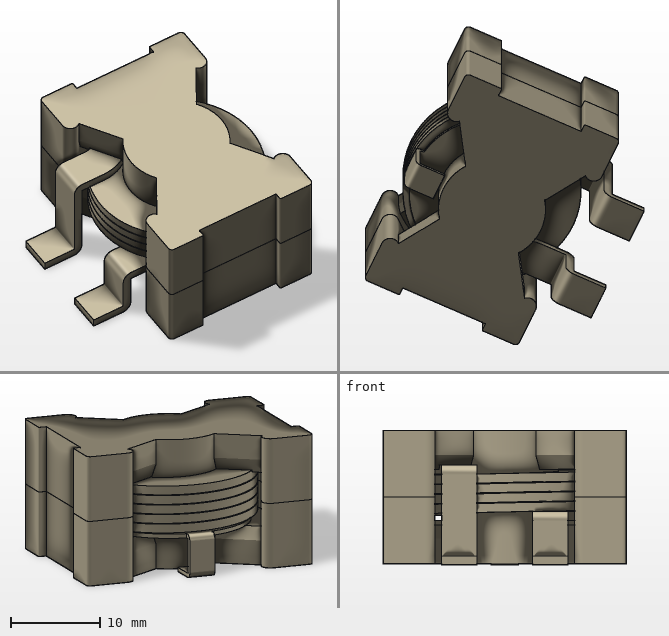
import cadquery as cq
import math

CORE_LENGTH = 27.3
CORE_WIDTH = 19.0
CORE_HALF_HEIGHT = 7.48
LEG_RADIUS = 6.0
WINDOW_RADIUS = 11.25
WINDOW_HALF_HEIGHT = 3.1
WAIST_X = 3.5
LIP_RADIUS = 1.0
SIDE_RECESS_DEPTH = 0.9
SIDE_RECESS_HALF_WIDTH = 5.1
OUTER_CORNER_RADIUS = 0.5
RECESS_CORNER_RADIUS = 0.15
BEVEL_HEIGHT = 1.55
BEVEL_DEPTH = 0.5

STRIP_WIDTH = 3.95
COIL_CLEARANCE = 0.03
STRIP_THICKNESS = 1.0
TURN_GAP = 0.09
WHOLE_TURNS = 4
LEAD_OUTER_X = 7.07
LEAD_BEND_Y = -7.62
LEAD_FACE_Y = -11.6
FOOT_END_Y = -15.53
LEAD_INNER_BEND_RADIUS = 0.1
FOOT_BOTTOM_Z = -7.62

CLIP_THICKNESS = 0.5
CLIP_ARM_OUTER_X = 9.25
CLIP_ARM_END_Y = -5.81
CLIP_TAIL_WIDTH = 3.05
CLIP_BACK_Y = 10.07
CLIP_FOOT_END_Y = 6.52
CLIP_INNER_BEND_RADIUS = 0.2

COIL_INNER_RADIUS = LEG_RADIUS + COIL_CLEARANCE
COIL_OUTER_RADIUS = COIL_INNER_RADIUS + STRIP_WIDTH
CLIP_TOP_Z = -WINDOW_HALF_HEIGHT + CLIP_THICKNESS
COIL_BOTTOM_Z = CLIP_TOP_Z

BEND_INNER_RADIUS = (LEAD_OUTER_X**2 + LEAD_BEND_Y**2 - COIL_OUTER_RADIUS**2) / (
    2 * (COIL_OUTER_RADIUS - LEAD_OUTER_X))
BEND_CENTRE_X = LEAD_OUTER_X + BEND_INNER_RADIUS
BEND_ANGLE = math.degrees(math.atan2(-LEAD_BEND_Y, BEND_CENTRE_X))
PITCH = STRIP_THICKNESS + TURN_GAP
COIL_TURNS = WHOLE_TURNS + (180 + 2 * BEND_ANGLE) / 360
COIL_RISE = COIL_TURNS * PITCH

LIP_CENTRE_Y = CORE_WIDTH / 2 - LIP_RADIUS
LIP_CENTRE_X = math.sqrt((WINDOW_RADIUS + LIP_RADIUS)**2 - LIP_CENTRE_Y**2)
LIP_END = (LIP_CENTRE_X * WINDOW_RADIUS / (WINDOW_RADIUS + LIP_RADIUS),
           LIP_CENTRE_Y * WINDOW_RADIUS / (WINDOW_RADIUS + LIP_RADIUS))
WAIST = (WAIST_X, math.sqrt(LEG_RADIUS**2 - WAIST_X**2))


def mirrored_quarters(quarter):
    """A quarter solid repeated over all four quadrants, as one shape."""
    half = quarter.union(quarter.mirror("YZ"))
    return half.union(half.mirror("XZ")).clean()


def disc(radius, height):
    """Disc about Z standing on the plane Z = 0."""
    return cq.Workplane("XY").circle(radius).extrude(height)


def core_block():
    """Waisted outline of one core half without its centre leg, extruded up from the parting plane."""
    half_length = CORE_LENGTH / 2
    half_width = CORE_WIDTH / 2
    quarter = (
        cq.Workplane("XY")
        .lineTo(*WAIST)
        .lineTo(*LIP_END)
        .threePointArc((LIP_CENTRE_X - LIP_RADIUS, LIP_CENTRE_Y), (LIP_CENTRE_X, half_width))
        .lineTo(half_length, half_width)
        .lineTo(half_length, SIDE_RECESS_HALF_WIDTH)
        .lineTo(half_length - SIDE_RECESS_DEPTH, SIDE_RECESS_HALF_WIDTH)
        .lineTo(half_length - SIDE_RECESS_DEPTH, 0)
        .close()
        .extrude(CORE_HALF_HEIGHT)
    )
    quarter = quarter.edges("|Z and >X and >Y").fillet(OUTER_CORNER_RADIUS)
    recess_corner = cq.selectors.NearestToPointSelector(
        (half_length, SIDE_RECESS_HALF_WIDTH, CORE_HALF_HEIGHT / 2))
    quarter = quarter.edges(recess_corner).fillet(RECESS_CORNER_RADIUS)
    return mirrored_quarters(quarter)


def waist_bevels():
    """Wedges under the four straight waist edges, kept inside the window radius."""
    edge = cq.Vector(LIP_END[0] - WAIST[0], LIP_END[1] - WAIST[1], 0)
    overrun = WINDOW_RADIUS - LEG_RADIUS
    start = cq.Vector(*LIP_END, 0) + edge.normalized() * overrun
    inward = (edge.y, -edge.x, 0)
    section = cq.Plane(origin=start.toTuple(), xDir=inward, normal=(-edge.x, -edge.y, 0))
    low = WINDOW_HALF_HEIGHT
    wedge = (
        cq.Workplane(section)
        .polyline([(0, low), (BEVEL_DEPTH, low), (0, low + BEVEL_HEIGHT)])
        .close()
        .extrude(edge.Length + 2 * overrun)
    )
    window = disc(WINDOW_RADIUS, CORE_HALF_HEIGHT)
    quadrant = cq.Workplane("XY").box(WINDOW_RADIUS, WINDOW_RADIUS, CORE_HALF_HEIGHT, centered=False)
    return mirrored_quarters(wedge.intersect(window).intersect(quadrant))


def core_half():
    """Upper core half: block, winding window, bevelled waist, and round centre leg."""
    window = disc(WINDOW_RADIUS, WINDOW_HALF_HEIGHT)
    centre_leg = disc(LEG_RADIUS, CORE_HALF_HEIGHT)
    return core_block().cut(window).cut(waist_bevels()).union(centre_leg)


def round_bends(strip, middle_x, corners, radius):
    """Round the edges along X whose (Y, Z) corners are listed."""
    for y, z in corners:
        corner = cq.selectors.NearestToPointSelector((middle_x, y, z))
        strip = strip.edges("|X").edges(corner).fillet(radius)
    return strip


def lead(top_z, side):
    """Lead on one side: in-plane bend, straight run, upright, and foot toward -Y."""
    outer = BEND_INNER_RADIUS + STRIP_WIDTH

    def on_bend(radius, degrees):
        angle = math.radians(degrees)
        return (BEND_CENTRE_X - radius * math.cos(angle), LEAD_BEND_Y + radius * math.sin(angle))

    bend = (
        cq.Workplane("XY", origin=(0, 0, top_z - STRIP_THICKNESS))
        .moveTo(*on_bend(BEND_INNER_RADIUS, 0))
        .threePointArc(on_bend(BEND_INNER_RADIUS, BEND_ANGLE / 2), on_bend(BEND_INNER_RADIUS, BEND_ANGLE))
        .lineTo(*on_bend(outer, BEND_ANGLE))
        .threePointArc(on_bend(outer, BEND_ANGLE / 2), on_bend(outer, 0))
        .close()
        .extrude(STRIP_THICKNESS)
    )
    under_top = top_z - STRIP_THICKNESS
    foot_top = FOOT_BOTTOM_Z + STRIP_THICKNESS
    back_face = LEAD_FACE_Y + STRIP_THICKNESS
    arm = (
        cq.Workplane("YZ", origin=(LEAD_OUTER_X - STRIP_WIDTH, 0, 0))
        .polyline([
            (LEAD_BEND_Y, top_z),
            (LEAD_FACE_Y, top_z),
            (LEAD_FACE_Y, foot_top),
            (FOOT_END_Y, foot_top),
            (FOOT_END_Y, FOOT_BOTTOM_Z),
            (back_face, FOOT_BOTTOM_Z),
            (back_face, under_top),
            (LEAD_BEND_Y, under_top),
        ])
        .close()
        .extrude(STRIP_WIDTH)
    )
    outer_corners = [(LEAD_FACE_Y, top_z), (back_face, FOOT_BOTTOM_Z)]
    inner_corners = [(back_face, under_top), (LEAD_FACE_Y, foot_top)]
    middle_x = LEAD_OUTER_X - STRIP_WIDTH / 2
    arm = round_bends(arm, middle_x, inner_corners, LEAD_INNER_BEND_RADIUS)
    arm = round_bends(arm, middle_x, outer_corners, LEAD_INNER_BEND_RADIUS + STRIP_THICKNESS)
    shape = bend.union(arm)
    return shape if side > 0 else shape.mirror("YZ")


def coil():
    """Flat strip wound edgewise round the centre leg, with a lead at each end."""
    middle_radius = COIL_INNER_RADIUS + STRIP_WIDTH / 2
    middle_z = COIL_BOTTOM_Z + STRIP_THICKNESS / 2
    path = cq.Wire.makeHelix(PITCH, COIL_RISE, middle_radius)
    winding = (
        cq.Workplane("XZ", origin=(middle_radius, 0, 0))
        .rect(STRIP_WIDTH, STRIP_THICKNESS)
        .sweep(path, isFrenet=True)
        .rotate((0, 0, 0), (0, 0, 1), -BEND_ANGLE)
        .translate((0, 0, middle_z))
    )
    lower_top = COIL_BOTTOM_Z + STRIP_THICKNESS
    return winding.union(lead(lower_top, 1)).union(lead(lower_top + COIL_RISE, -1))


def clip():
    """U-shaped plate on the window floor, with a tail bent down behind the core."""
    plate_bottom = -WINDOW_HALF_HEIGHT
    plate = (
        cq.Workplane("XY", origin=(0, 0, plate_bottom))
        .moveTo(CLIP_ARM_OUTER_X, CLIP_ARM_END_Y)
        .lineTo(CLIP_ARM_OUTER_X, 0)
        .threePointArc((0, CLIP_ARM_OUTER_X), (-CLIP_ARM_OUTER_X, 0))
        .lineTo(-CLIP_ARM_OUTER_X, CLIP_ARM_END_Y)
        .lineTo(-LEG_RADIUS, CLIP_ARM_END_Y)
        .lineTo(-LEG_RADIUS, 0)
        .threePointArc((0, LEG_RADIUS), (LEG_RADIUS, 0))
        .lineTo(LEG_RADIUS, CLIP_ARM_END_Y)
        .close()
        .extrude(CLIP_THICKNESS)
    )
    inner_back = CLIP_BACK_Y - CLIP_THICKNESS
    foot_top = FOOT_BOTTOM_Z + CLIP_THICKNESS
    tail = (
        cq.Workplane("YZ", origin=(-CLIP_TAIL_WIDTH / 2, 0, 0))
        .polyline([
            (CLIP_FOOT_END_Y, CLIP_TOP_Z),
            (CLIP_BACK_Y, CLIP_TOP_Z),
            (CLIP_BACK_Y, FOOT_BOTTOM_Z),
            (CLIP_FOOT_END_Y, FOOT_BOTTOM_Z),
            (CLIP_FOOT_END_Y, foot_top),
            (inner_back, foot_top),
            (inner_back, plate_bottom),
            (CLIP_FOOT_END_Y, plate_bottom),
        ])
        .close()
        .extrude(CLIP_TAIL_WIDTH)
    )
    outer_corners = [(CLIP_BACK_Y, CLIP_TOP_Z), (CLIP_BACK_Y, FOOT_BOTTOM_Z)]
    inner_corners = [(inner_back, plate_bottom), (inner_back, foot_top)]
    tail = round_bends(tail, 0, inner_corners, CLIP_INNER_BEND_RADIUS)
    tail = round_bends(tail, 0, outer_corners, CLIP_INNER_BEND_RADIUS + CLIP_THICKNESS)
    return plate.union(tail)


wound_coil = coil()
lower_core = core_half().mirror("XY")
upper_core = core_half().cut(wound_coil)
terminal_clip = clip()

result = cq.Compound.makeCompound([
    lower_core.solids().val(),
    upper_core.solids().val(),
    wound_coil.solids().val(),
    terminal_clip.solids().val(),
])